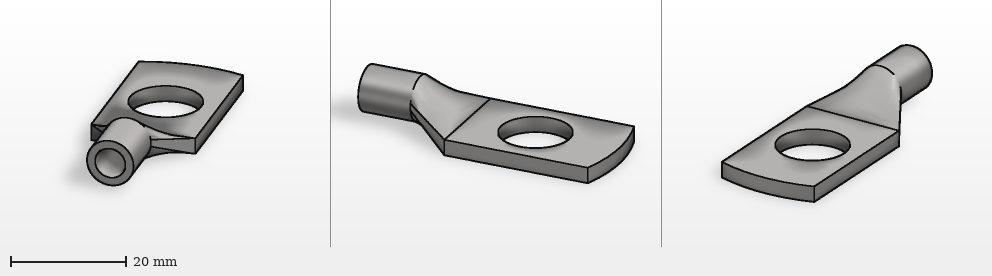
import cadquery as cq

total_length = 48.0
palm_width = 19.0
palm_thickness = 3.0
end_arc_rise = 1.55
stud_hole_diameter = 13.0
stud_hole_y = 32.0

overall_height = 9.5
barrel_diameter = 8.5
bore_diameter = 5.5
barrel_length = 10.05
neck_length = 9.0

barrel_axis_z = overall_height - barrel_diameter / 2
palm_start_y = barrel_length + neck_length
half_width = palm_width / 2
end_corner_y = total_length - end_arc_rise


def make_palm():
    """Flat plate with a bowed far end and a stud hole."""
    plate = (
        cq.Workplane("XY")
        .moveTo(-half_width, palm_start_y)
        .lineTo(half_width, palm_start_y)
        .lineTo(half_width, end_corner_y)
        .threePointArc((0, total_length), (-half_width, end_corner_y))
        .close()
        .extrude(palm_thickness)
    )
    hole = (
        cq.Workplane("XY")
        .center(0, stud_hole_y)
        .circle(stud_hole_diameter / 2)
        .extrude(palm_thickness)
    )
    return plate.cut(hole)


def make_neck():
    """Solid transition from the rectangular palm to the round barrel."""
    return (
        cq.Workplane("XZ", origin=(0, palm_start_y, palm_thickness / 2))
        .rect(palm_width, palm_thickness)
        .workplane(offset=neck_length)
        .center(0, barrel_axis_z - palm_thickness / 2)
        .circle(barrel_diameter / 2)
        .loft(combine=True)
    )


def make_barrel():
    """Round wire barrel with a bore that ends at the neck."""
    return (
        cq.Workplane("XZ", origin=(0, 0, barrel_axis_z))
        .circle(barrel_diameter / 2)
        .circle(bore_diameter / 2)
        .extrude(-barrel_length)
    )


result = make_palm().union(make_neck()).union(make_barrel())